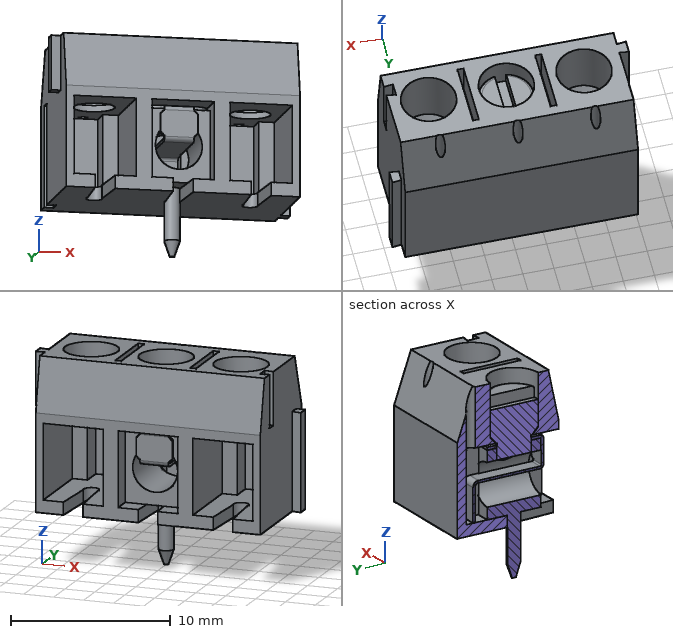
import cadquery as cq
import math

pitch = 5.0
pole_count = 3
housing_length = pole_count * pitch
housing_height = 10.0
front_y = -3.3
rear_y = 4.2
shoulder_z = 6.5
top_front_y = -2.55
top_rear_y = 2.95

cavity_width = 4.0
floor_thickness = 0.85
cavity_height = 5.0
ceiling_z = floor_thickness + cavity_height
cavity_back_y = cavity_width / 2
niche_width = 2.0
niche_back_y = 3.5

screw_bore_diameter = 3.5
neck_diameter = 2.5
seat_diameter = 2.6
seat_depth = 0.5

probe_hole_diameter = 0.6
probe_hole_y = 3.2

pin_diameter = 1.0
pin_length = 3.5
pin_point_length = 1.0
pin_tip_diameter = 0.3
pin_slot_mouth = 1.3
pin_slot_neck = 0.94

separator_width = 0.4
separator_length = 4.2
separator_y = 0.18
separator_depth = 2.0

dovetail_depth = 0.6
dovetail_root = 0.7
dovetail_tip = 0.85
upper_dovetail_y = -1.27
lower_dovetail_y = 2.82

cage_height = 4.7
cage_depth = cavity_width
cage_top_z = floor_thickness + cage_height
wire_hole_diameter = 3.0
wire_hole_z = floor_thickness + cage_height / 2
wire_hole_top_z = wire_hole_z + wire_hole_diameter / 2

leaf_thickness = 0.2
leaf_strip_width = 1.9
leaf_plate_width = 2.4
leaf_plate_chamfer = 0.24
leaf_flange_corner = 0.85
leaf_bend_radius = 0.3
leaf_rear_bend_radius = 0.4
leaf_plate_top_z = 5.45
leaf_plate_bottom_z = 3.78
leaf_tail_z = 3.45
leaf_rear_y = 3.05

screw_top_z = 9.0
screw_edge_radius = 0.2
drive_slot_width = 0.75
drive_slot_depth = 0.8

half_length = housing_length / 2
pole_positions = [(i - (pole_count - 1) / 2) * pitch for i in range(pole_count)]
wall_positions = [(i - (pole_count - 2) / 2) * pitch for i in range(pole_count - 1)]


def block(x_range, y_range, z_range):
    """Axis-aligned box between the given limits."""
    size = [high - low for low, high in (x_range, y_range, z_range)]
    corner = (x_range[0], y_range[0], z_range[0])
    return cq.Workplane("XY").box(*size, centered=False).translate(corner)


def cylinder(diameter, x, y, bottom_z, top_z):
    """Vertical cylinder between two heights."""
    base = cq.Workplane("XY").workplane(offset=bottom_z)
    return base.center(x, y).circle(diameter / 2).extrude(top_z - bottom_z)


def housing_blank():
    outline = [
        (front_y, 0),
        (rear_y, 0),
        (rear_y, shoulder_z),
        (top_rear_y, housing_height),
        (top_front_y, housing_height),
        (front_y, shoulder_z),
    ]
    return cq.Workplane("YZ").polyline(outline).close().extrude(half_length, both=True)


def dovetail_bar(root_x, tip_x, y, bottom_z, top_z):
    """Upright bar that widens from its root to its tip."""
    outline = [
        (root_x, y - dovetail_root / 2),
        (tip_x, y - dovetail_tip / 2),
        (tip_x, y + dovetail_tip / 2),
        (root_x, y + dovetail_root / 2),
    ]
    base = cq.Workplane("XY").workplane(offset=bottom_z)
    return base.polyline(outline).close().extrude(top_z - bottom_z)


def pin_slot(x):
    """Slot in the cavity floor: round at the pin, with a slight neck that widens to the front face."""
    radius = pin_diameter / 2
    half_neck = pin_slot_neck / 2
    neck_y = -math.sqrt(radius**2 - half_neck**2)
    slot = (
        cq.Workplane("XY")
        .moveTo(x - pin_slot_mouth / 2, front_y)
        .lineTo(x - half_neck, neck_y)
        .threePointArc((x, radius), (x + half_neck, neck_y))
        .lineTo(x + pin_slot_mouth / 2, front_y)
        .close()
    )
    return slot.extrude(floor_thickness)


def screw_bore(x):
    """Bore for the screw head with a conical seat that narrows to the cavity ceiling."""
    profile = [
        (0, ceiling_z),
        (seat_diameter / 2, ceiling_z),
        (screw_bore_diameter / 2, ceiling_z + seat_depth),
        (screw_bore_diameter / 2, housing_height),
        (0, housing_height),
    ]
    bore = cq.Workplane("XZ").polyline(profile).close().revolve(360, (0, 0), (0, 1))
    return bore.translate((x, 0, 0))


def pole_cutout(x):
    """Everything removed from the housing for one pole."""
    inside_z = (floor_thickness, ceiling_z)
    cavity = block((x - cavity_width / 2, x + cavity_width / 2), (front_y, cavity_back_y), inside_z)
    niche = block((x - niche_width / 2, x + niche_width / 2), (cavity_back_y, niche_back_y), inside_z)
    probe_hole = cylinder(probe_hole_diameter, x, probe_hole_y, ceiling_z, housing_height)
    return cavity.union(niche).union(probe_hole).union(pin_slot(x)).union(screw_bore(x))


def make_housing():
    housing = housing_blank()
    for x in pole_positions:
        housing = housing.cut(pole_cutout(x))
    for x in wall_positions:
        housing = housing.cut(
            block(
                (x - separator_width / 2, x + separator_width / 2),
                (separator_y - separator_length / 2, separator_y + separator_length / 2),
                (housing_height - separator_depth, housing_height),
            )
        )
    upper = (upper_dovetail_y, shoulder_z, housing_height)
    lower = (lower_dovetail_y, 0, shoulder_z)
    reach = half_length + dovetail_depth
    depth = half_length - dovetail_depth
    housing = housing.union(dovetail_bar(-half_length, -reach, *upper))
    housing = housing.union(dovetail_bar(half_length, reach, *lower))
    housing = housing.cut(dovetail_bar(half_length, depth, *upper))
    return housing.cut(dovetail_bar(-half_length, -depth, *lower))


def make_cage():
    half_width = cavity_width / 2
    half_depth = cage_depth / 2
    cage = block((-half_width, half_width), (-half_depth, half_depth), (floor_thickness, cage_top_z))
    wire_hole = (
        cq.Workplane("XZ")
        .center(0, wire_hole_z)
        .circle(wire_hole_diameter / 2)
        .extrude(half_depth, both=True)
    )
    cage = cage.cut(wire_hole).cut(cylinder(neck_diameter, 0, 0, wire_hole_z, cage_top_z))
    shank_end_z = pin_point_length - pin_length
    pin = (
        cq.Workplane("XZ")
        .moveTo(0, floor_thickness)
        .lineTo(pin_diameter / 2, floor_thickness)
        .lineTo(pin_diameter / 2, shank_end_z)
        .lineTo(pin_tip_diameter / 2, -pin_length)
        .lineTo(0, -pin_length)
        .close()
        .revolve(360, (0, 0), (0, 1))
    )
    return cage.union(pin)


def make_leaf():
    """Flange on the cage, tongue bent down over the wire hole, tail through the hole into the niche."""
    top_z = cage_top_z + leaf_thickness
    cage_front_y = -cage_depth / 2
    plate_y = cage_front_y - leaf_thickness
    diagonal = math.sqrt(0.5)

    flange = (
        cq.Workplane("XY")
        .workplane(offset=cage_top_z)
        .rect(cavity_width, cage_depth)
        .extrude(leaf_thickness)
        .edges("|Z")
        .fillet(leaf_flange_corner)
    )

    bend_y = plate_y + leaf_bend_radius
    bend_inset = leaf_bend_radius * diagonal
    top_bend_z = top_z - leaf_bend_radius
    bottom_bend_z = leaf_tail_z + leaf_bend_radius
    inner_inset = (leaf_bend_radius - leaf_thickness) * diagonal
    tail_top_z = leaf_tail_z + leaf_thickness
    tongue = (
        cq.Workplane("YZ")
        .moveTo(bend_y, top_z)
        .threePointArc((bend_y - bend_inset, top_bend_z + bend_inset), (plate_y, top_bend_z))
        .lineTo(plate_y, bottom_bend_z)
        .threePointArc((bend_y - bend_inset, bottom_bend_z - bend_inset), (bend_y, leaf_tail_z))
        .lineTo(cavity_back_y, leaf_tail_z)
        .lineTo(cavity_back_y, tail_top_z)
        .lineTo(bend_y, tail_top_z)
        .threePointArc((bend_y - inner_inset, bottom_bend_z - inner_inset), (cage_front_y, bottom_bend_z))
        .lineTo(cage_front_y, cage_top_z)
        .lineTo(bend_y, cage_top_z)
        .close()
        .extrude(leaf_strip_width / 2, both=True)
    )

    rear_bend_y = leaf_rear_y - leaf_rear_bend_radius
    rear_bend_z = tail_top_z - leaf_rear_bend_radius
    rear_inset = leaf_rear_bend_radius * diagonal
    rear_inner_inset = (leaf_rear_bend_radius - leaf_thickness) * diagonal
    tail_front_y = leaf_rear_y - leaf_thickness
    tail = (
        cq.Workplane("YZ")
        .moveTo(cavity_back_y, leaf_tail_z)
        .lineTo(rear_bend_y, leaf_tail_z)
        .threePointArc(
            (rear_bend_y + rear_inner_inset, rear_bend_z + rear_inner_inset),
            (tail_front_y, rear_bend_z),
        )
        .lineTo(tail_front_y, floor_thickness)
        .lineTo(leaf_rear_y, floor_thickness)
        .lineTo(leaf_rear_y, rear_bend_z)
        .threePointArc((rear_bend_y + rear_inset, rear_bend_z + rear_inset), (rear_bend_y, tail_top_z))
        .lineTo(cavity_back_y, tail_top_z)
        .close()
        .extrude(niche_width / 2, both=True)
    )

    plate_height = leaf_plate_top_z - leaf_plate_bottom_z
    plate = (
        cq.Workplane("XZ", origin=(0, cage_front_y, leaf_plate_bottom_z + plate_height / 2))
        .rect(leaf_plate_width, plate_height)
        .extrude(leaf_thickness)
        .edges("|Y")
        .chamfer(leaf_plate_chamfer)
    )
    leaf = flange.union(tongue).union(tail).union(plate)
    return leaf.cut(cylinder(neck_diameter, 0, 0, cage_top_z, top_z))


def make_screw():
    head_radius = screw_bore_diameter / 2
    neck_radius = neck_diameter / 2
    screw = (
        cq.Workplane("XZ")
        .moveTo(0, wire_hole_top_z)
        .lineTo(neck_radius, wire_hole_top_z)
        .lineTo(neck_radius, ceiling_z)
        .lineTo(seat_diameter / 2, ceiling_z)
        .lineTo(head_radius, ceiling_z + seat_depth)
        .lineTo(head_radius, screw_top_z)
        .lineTo(0, screw_top_z)
        .close()
        .revolve(360, (0, 0), (0, 1))
        .faces(">Z")
        .edges()
        .fillet(screw_edge_radius)
    )
    half_slot = drive_slot_width / 2
    slot_z = (screw_top_z - drive_slot_depth, screw_top_z)
    return screw.cut(block((-half_slot, half_slot), (-head_radius, head_radius), slot_z))


housing = make_housing()
cage = make_cage()
leaf = make_leaf()
screw = make_screw()

result = cq.Compound.makeCompound([housing.val(), cage.val(), leaf.val(), screw.val()])